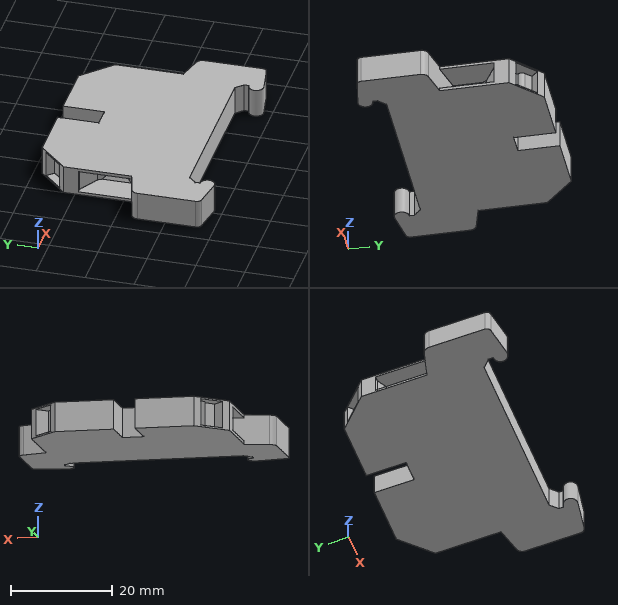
import cadquery as cq
import math

length = 52.0
height = 36.6
thickness = 6.0

body_half_width = 20.0
top_chamfer = 6.0
shoulder_y = 16.7
shoulder_angle = math.radians(15)
shoulder_fillet = 1.5
foot_angle = math.radians(10)
foot_fillet = 1.0
rail_seat_y = 5.5
rail_half_width = 17.5
rail_relief = 1.5
hook_radius = 1.5

slot_width = 4.3
slot_depth = 8.5

screw_pocket_length = 5.15
screw_pocket_width = 5.3
screw_ledge_length = 2.7
screw_ledge_depth = 1.9
screw_ledge_round = 1.0

entry_top_y = 27.6
entry_width = 4.7
entry_lip = 1.0
entry_roof_angle = math.radians(30)
entry_depth = 6.4
seat_top_y = 23.3
seat_bottom_y = 19.3
seat_width = 2.75
funnel_taper = math.radians(60)

half_length = length / 2


def mirrored(solid):
    """The solid together with its copy on the other side of the YZ plane."""
    return solid.union(solid.mirror("YZ"))


def make_half_plate():
    """Left half of the plate, from the side foot to the middle plane."""
    hook_x = -(rail_half_width + hook_radius)
    hook_exit_x = hook_x - hook_radius * math.sin(foot_angle)
    hook_exit_y = hook_radius * (1 - math.cos(foot_angle))
    foot_corner_y = hook_exit_y + (half_length + hook_exit_x) * math.tan(foot_angle)
    shoulder_drop = (half_length - body_half_width) * math.tan(shoulder_angle)

    plate = (
        cq.Workplane("XY")
        .workplane(offset=-thickness / 2)
        .moveTo(0, height)
        .lineTo(top_chamfer - body_half_width, height)
        .lineTo(-body_half_width, height - top_chamfer)
        .lineTo(-body_half_width, shoulder_y)
        .lineTo(-half_length, shoulder_y - shoulder_drop)
        .lineTo(-half_length, foot_corner_y)
        .lineTo(hook_exit_x, hook_exit_y)
        .threePointArc((hook_x + hook_radius, hook_radius), (hook_x, 2 * hook_radius))
        .lineTo(hook_x, rail_seat_y - rail_relief)
        .lineTo(hook_x + rail_relief, rail_seat_y)
        .lineTo(0, rail_seat_y)
        .close()
        .extrude(thickness)
    )
    plate = plate.faces("<X").edges("|Z").edges(">Y").fillet(shoulder_fillet)
    return plate.faces("<X").edges("|Z").edges("<Y").fillet(foot_fillet)


def make_top_slot():
    return cq.Workplane("XY").box(slot_width, 2 * slot_depth, 2 * thickness).translate((0, height, 0))


def make_screw_pocket():
    """Pocket in the left chamfer: a shallow ledge with a rounded edge above a deeper floor."""
    chamfer_middle = cq.Vector(
        top_chamfer / 2 - body_half_width, height - top_chamfer / 2, 0
    )
    chamfer_plane = cq.Plane(origin=chamfer_middle, xDir=(1, 1, 0), normal=(0, 0, 1))
    top = screw_pocket_length / 2
    edge = top - screw_ledge_length
    floor = -(screw_ledge_depth + screw_ledge_round)
    diagonal = screw_ledge_round * math.sqrt(0.5)
    round_middle = (edge + screw_ledge_round - diagonal, floor + diagonal)
    return (
        cq.Workplane(chamfer_plane)
        .moveTo(-top, 0)
        .lineTo(top, 0)
        .lineTo(top, -screw_ledge_depth)
        .lineTo(edge + screw_ledge_round, -screw_ledge_depth)
        .threePointArc(round_middle, (edge, floor))
        .lineTo(-top, floor)
        .close()
        .extrude(screw_pocket_width / 2, both=True)
    )


def make_wire_entry():
    """Left wire entry: a sloping channel whose inner end is cut to a four-sided funnel."""
    seat_x = entry_depth - body_half_width
    lip_x = entry_lip - body_half_width
    roof_drop = (seat_x - lip_x) * math.tan(entry_roof_angle)
    floor_rise = entry_depth * math.tan(shoulder_angle)
    channel = (
        cq.Workplane("XY")
        .polyline(
            [
                (-body_half_width, shoulder_y),
                (-body_half_width, entry_top_y),
                (lip_x, entry_top_y),
                (seat_x, entry_top_y - roof_drop),
                (seat_x, shoulder_y + floor_rise),
            ]
        )
        .close()
        .extrude(entry_width / 2, both=True)
    )
    seat_middle = (seat_x, (seat_top_y + seat_bottom_y) / 2, 0)
    seat_plane = cq.Plane(origin=seat_middle, xDir=(0, 1, 0), normal=(-1, 0, 0))
    seat_length = seat_top_y - seat_bottom_y
    flare = 2 * entry_depth * math.tan(funnel_taper)
    funnel = (
        cq.Workplane(seat_plane)
        .rect(seat_length, seat_width)
        .workplane(offset=entry_depth)
        .rect(seat_length + flare, seat_width + flare)
        .loft(ruled=True)
    )
    return channel.intersect(funnel)


plate = mirrored(make_half_plate())
plate = plate.cut(make_top_slot())
plate = plate.cut(mirrored(make_screw_pocket()))
result = plate.cut(mirrored(make_wire_entry()))